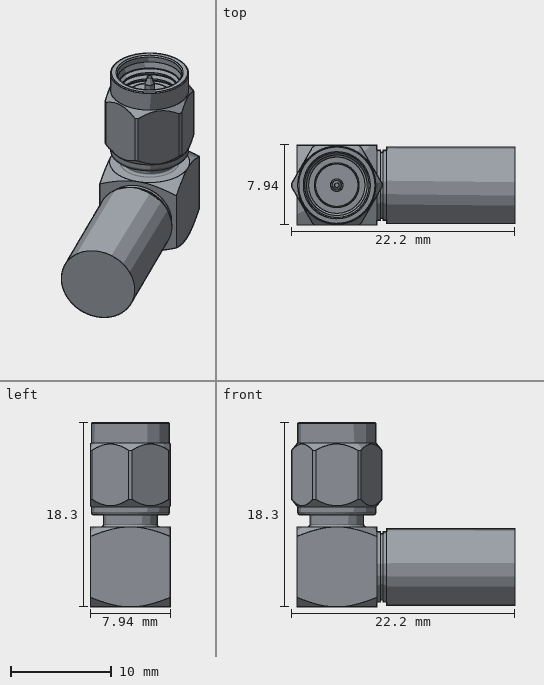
import cadquery as cq
import math


body_size = 7.94
body_half = body_size / 2
body_bevel_angle = 30.0

neck_radius = 2.67
neck_fillet = 0.25

total_height = 18.29
nut_bottom = 9.12
nut_radius = 3.88
nut_bottom_fillet = 0.27
nut_rim_chamfer = 0.1
hex_flats = body_size
hex_corner_radius = 4.485
hex_bottom = 9.93
hex_top = 16.27
hex_bevel_height = 0.73

bore_radius = 3.2
bore_mouth_chamfer = 0.13
bore_relief_depth = 0.70
bore_floor_depth = 4.0
inch = 25.4
threads_per_inch = 36
thread_pitch = inch / threads_per_inch
thread_minor_radius = 2.79
thread_root_radius = 3.15
thread_crest_width = thread_pitch / 4
thread_root_width = thread_pitch / 8
thread_first_crest_depth = 1.68
thread_lead_radius = 3.0
thread_grooves = 3

contact_radius = 2.22
contact_chamfer = 0.12
contact_depth = 2.47
pin_clearance_radius = 0.62
pin_clearance_depth = 0.2
pin_radius = 0.47
pin_tip_radius = 0.22
pin_tip_depth = 0.52
pin_taper_length = 0.70

total_length = 22.18
ferrule_end = total_length - hex_corner_radius
ferrule_start = 4.94
ferrule_radius = 3.81
collar_radius = 3.49
collar_groove_radius = 3.29
collar_groove_start = 4.35
collar_groove_end = 4.59


def turned(points):
    """Solid of revolution about Z from (radius, height) points."""
    return cq.Workplane("XZ").polyline(points).close().revolve(360, (0, 0), (0, 1))


def cylinder(radius, bottom, top):
    return cq.Workplane("XY").workplane(offset=bottom).circle(radius).extrude(top - bottom)


def x_cylinder(radius, start, end):
    """Cylinder on the ferrule axis."""
    plane = cq.Workplane("YZ", origin=(start, 0, body_half))
    return plane.circle(radius).extrude(end - start)


def make_body():
    """Cube whose top and bottom corners are bevelled by cones about Z."""
    corner_radius = body_half * math.sqrt(2)
    bevel_height = (corner_radius - body_half) * math.tan(math.radians(body_bevel_angle))
    cube = cq.Workplane("XY").box(body_size, body_size, body_size, centered=(True, True, False))
    envelope = turned([
        (0, 0),
        (body_half, 0),
        (corner_radius, bevel_height),
        (corner_radius, body_size - bevel_height),
        (body_half, body_size),
        (0, body_size),
    ])
    return cube.intersect(envelope)


def make_neck():
    """Neck with a concave fillet where it meets the body."""
    sag = neck_fillet * (1 - math.sqrt(0.5))
    profile = (
        cq.Workplane("XZ")
        .moveTo(0, body_half)
        .lineTo(neck_radius + neck_fillet, body_half)
        .lineTo(neck_radius + neck_fillet, body_size)
        .threePointArc(
            (neck_radius + sag, body_size + sag),
            (neck_radius, body_size + neck_fillet),
        )
        .lineTo(neck_radius, nut_bottom)
        .lineTo(0, nut_bottom)
        .close()
    )
    return profile.revolve(360, (0, 0), (0, 1))


def make_nut_outside():
    """Round sleeve with a bevelled hexagon around its middle."""
    sleeve = cylinder(nut_radius, nut_bottom, total_height)
    sleeve = sleeve.faces("<Z").edges().fillet(nut_bottom_fillet)
    sleeve = sleeve.faces(">Z").edges().chamfer(nut_rim_chamfer)

    across_corners = hex_flats / math.cos(math.pi / 6)
    hexagon = cq.Workplane("XY").workplane(offset=hex_bottom).polygon(6, across_corners)
    hexagon = hexagon.extrude(hex_top - hex_bottom)
    envelope = turned([
        (0, hex_bottom),
        (nut_radius, hex_bottom),
        (hex_corner_radius, hex_bottom + hex_bevel_height),
        (hex_corner_radius, hex_top - hex_bevel_height),
        (nut_radius, hex_top),
        (0, hex_top),
    ])
    return sleeve.union(hexagon.intersect(envelope))


def make_bore():
    """Space inside the nut: chamfered mouth, relief, lead-in cone and ring-shaped thread grooves."""
    flank_height = (thread_pitch - thread_crest_width - thread_root_width) / 2
    flank_depth = thread_root_radius - thread_minor_radius
    lead_flank_height = flank_height * (thread_root_radius - thread_lead_radius) / flank_depth
    outline = [
        (0, 0),
        (bore_radius + bore_mouth_chamfer, 0),
        (bore_radius, bore_mouth_chamfer),
        (bore_radius, bore_relief_depth),
    ]
    for groove in range(thread_grooves):
        crest_start = thread_first_crest_depth + groove * thread_pitch
        root_end = crest_start - flank_height
        root_start = root_end - thread_root_width
        if groove == 0:
            groove_entry = (thread_lead_radius, root_start - lead_flank_height)
        else:
            groove_entry = (thread_minor_radius, root_start - flank_height)
        outline += [
            groove_entry,
            (thread_root_radius, root_start),
            (thread_root_radius, root_end),
            (thread_minor_radius, crest_start),
        ]
    outline += [(thread_minor_radius, bore_floor_depth), (0, bore_floor_depth)]
    return turned([(radius, total_height - depth) for radius, depth in outline])


def make_contact():
    """Raised contact face with the pointed pin standing in a shallow clearance."""
    floor = total_height - bore_floor_depth
    face = total_height - contact_depth
    pin_tip = total_height - pin_tip_depth
    return turned([
        (0, floor),
        (contact_radius, floor),
        (contact_radius, face - contact_chamfer),
        (contact_radius - contact_chamfer, face),
        (pin_clearance_radius, face),
        (pin_clearance_radius, face - pin_clearance_depth),
        (pin_radius, face - pin_clearance_depth),
        (pin_radius, pin_tip - pin_taper_length),
        (pin_tip_radius, pin_tip),
        (0, pin_tip),
    ])


def make_ferrule():
    """Grooved collar followed by the plain cable ferrule."""
    collar = x_cylinder(collar_radius, body_half, collar_groove_start)
    groove_core = x_cylinder(collar_groove_radius, collar_groove_start, collar_groove_end)
    shoulder = x_cylinder(collar_radius, collar_groove_end, ferrule_start)
    ferrule = x_cylinder(ferrule_radius, ferrule_start, ferrule_end)
    return collar.union(groove_core).union(shoulder).union(ferrule)


nut = make_nut_outside().cut(make_bore()).union(make_contact())
result = make_body().union(make_neck()).union(nut).union(make_ferrule())